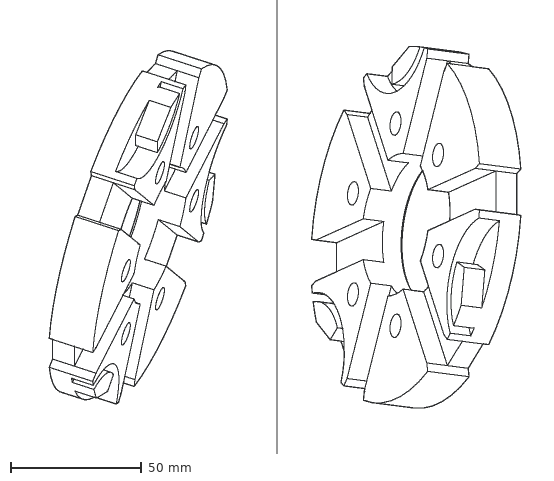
import cadquery as cq
import math

outer_radius = 68.9
thickness = 18.0
plate_thickness = 9.1
tooth_height = thickness - plate_thickness
bore_diameter = 55.0
bore_chamfer = 1.0

hole_diameter = 9.0
hole_circle_radius = 40.0
hole_count = 6

slot_count = 6
slot_width = 16.1
notch_floor = 64.9
notch_mouth_width = 18.3
notch_mouth_radius = math.sqrt(outer_radius**2 - (notch_mouth_width / 2) ** 2)
notch_flare = (notch_mouth_width - slot_width) / 2 / (notch_mouth_radius - notch_floor)

pocket_count = 3
pocket_center = 80.7
pocket_radius = 28.2
island_radius = 24.8
ramp_start = 11.0
ramp_end = -2.8
ramp_end_height = 63.0

cut_clearance = 6.9


def at_angles(body, count):
    """Return copies of a body spaced evenly around the X axis."""
    return [body.rotate((0, 0, 0), (1, 0, 0), i * 360 / count) for i in range(count)]


def cylinder(radius, start, length, center_z=0.0):
    """Cylinder along X, centred on the XZ plane."""
    return cq.Workplane("YZ", origin=(start, 0, center_z)).circle(radius).extrude(length)


def make_slot_cutter():
    """Cutter for one slot and its rim notch, pointing along +Y."""
    reach = outer_radius + cut_clearance
    slot = cq.Workplane("XY").box(tooth_height, reach, slot_width, centered=(False, False, True))
    slot = slot.translate((plate_thickness, 0, 0))
    floor_half = slot_width / 2
    reach_half = floor_half + notch_flare * (reach - notch_floor)
    notch = (
        cq.Workplane("YZ")
        .polyline(
            [
                (notch_floor, -floor_half),
                (reach, -reach_half),
                (reach, reach_half),
                (notch_floor, floor_half),
            ]
        )
        .close()
        .extrude(thickness)
    )
    return slot.union(notch)


def make_pocket_cutter():
    """Cutter for the pocket in the tooth at +Z, leaving its ramped island."""
    ramp_start_height = math.sqrt(outer_radius**2 - ramp_start**2)
    ramp_slope = (ramp_start_height - ramp_end_height) / (ramp_start - ramp_end)
    reach = pocket_radius
    ramp_reach_height = ramp_end_height + ramp_slope * (reach - ramp_end)
    under_ramp = (
        cq.Workplane("YZ", origin=(plate_thickness, 0, 0))
        .moveTo(ramp_end, 0)
        .lineTo(ramp_end, ramp_end_height)
        .lineTo(reach, ramp_reach_height)
        .lineTo(reach, 0)
        .close()
        .extrude(tooth_height)
    )
    island = cylinder(island_radius, plate_thickness, tooth_height, pocket_center).intersect(under_ramp)
    return cylinder(pocket_radius, plate_thickness, tooth_height, pocket_center).cut(island)


result = cylinder(outer_radius, 0, thickness).cut(cylinder(bore_diameter / 2, 0, thickness))
bore_edge = cq.selectors.RadiusNthSelector(0)
result = result.faces("<X").edges(bore_edge).chamfer(bore_chamfer)

hole = cylinder(hole_diameter / 2, 0, thickness, hole_circle_radius)
for cutter in at_angles(hole, hole_count):
    result = result.cut(cutter)

for cutter in at_angles(make_slot_cutter(), slot_count):
    result = result.cut(cutter)

for cutter in at_angles(make_pocket_cutter(), pocket_count):
    result = result.cut(cutter)